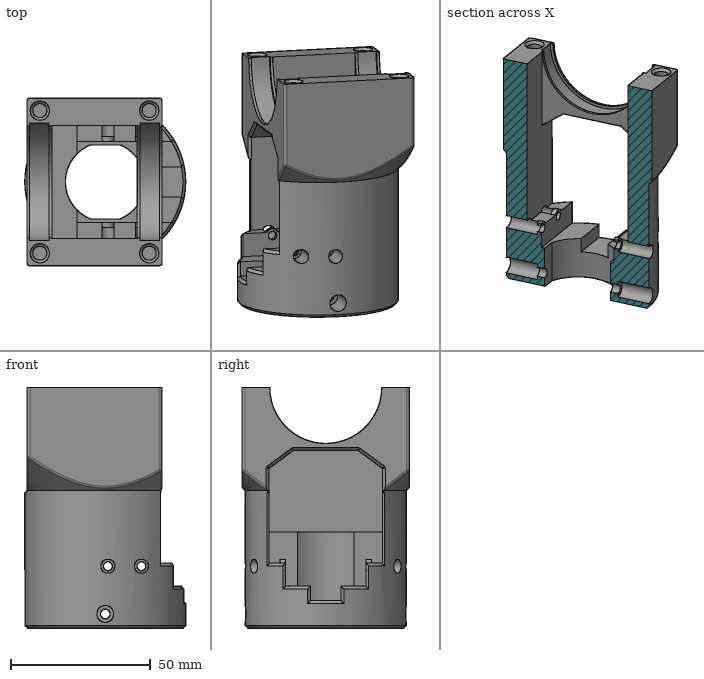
import cadquery as cq
import math

height = 86.25
body_diameter = 57.7
body_radius = body_diameter / 2
shoulder_z = 49.3
edge_size = 1.0

head_length = 48.4
head_width = 60.0
head_left = -28.0
head_right = head_left + head_length
head_center = (head_left + head_right) / 2
head_overlap = 0.9
head_bottom = shoulder_z - head_overlap

arch_wall = 9.0
saddle_radius = 20.0
groove_radius = 21.05
groove_width = 7.0

pocket_left = head_left + arch_wall
pocket_half_width = 20.3
ledge_z = 34.5
ledge_right = -10.1
pocket_z = 23.5
channel_half_width = 14.5
channel_z = 15.1
slot_half_width = 5.4
slot_z = 9.9
bore_radius = 14.2
bore_half_width = 13.2

opening_spring_z = 57.3
opening_top_z = 63.65
opening_top_half_width = 11.65

side_screw_z = 22.25
side_screw_places = (0.95, 12.9)
side_screw_hole = 3.1
side_screw_head = 5.0
base_screw_z = 5.2
base_screw_hole = 3.4
base_screw_head = 6.0
screw_seat_y = 16.3

clamp_hole = 5.0
clamp_mouth = 6.9
clamp_mouth_angle = 90
clamp_depth = 10.35
clamp_spacing_x = 39.2
clamp_spacing_y = 51.1

reach = 2 * body_radius
tolerance = 0.01


def block(x_min, x_max, half_width, z_min, z_max):
    """Box between two X and two Z planes, centred on Y = 0."""
    size = (x_max - x_min, 2 * half_width, z_max - z_min)
    return cq.Workplane().box(*size, centered=(False, True, False)).translate((x_min, 0, z_min))


def rod_along_y(radius, x, z, y_min, y_max):
    """Cylinder along Y between two Y planes."""
    return cq.Workplane("XZ", origin=(x, y_min, z)).circle(radius).extrude(y_min - y_max)


def disc_along_x(radius, x_center, thickness):
    """Cylinder along X on the saddle axis in the top face."""
    start = (x_center - thickness / 2, 0, height)
    return cq.Workplane("YZ", origin=start).circle(radius).extrude(thickness)


def shoulder_wedge():
    """45 degree wedge off the shoulder sliver that sticks out past the -X face of the head."""
    sliver = body_radius + head_left
    return (
        cq.Workplane("XZ")
        .moveTo(head_left, shoulder_z)
        .lineTo(head_left - sliver, shoulder_z)
        .lineTo(head_left - sliver, shoulder_z - sliver)
        .close()
        .extrude(body_radius, both=True)
    )


def make_body():
    """Cylinder with the stepped pocket that opens towards +X."""
    body = cq.Workplane().circle(body_radius).extrude(shoulder_z)
    body = body.faces("<Z").chamfer(edge_size)
    body = body.cut(shoulder_wedge())
    steps = (
        (ledge_right, pocket_half_width, pocket_z),
        (ledge_right, channel_half_width, channel_z),
        (0, slot_half_width, slot_z),
    )
    for x_min, half_width, floor_z in steps:
        body = body.cut(block(x_min, reach, half_width, floor_z, height))

    rim_edges = [edge for edge in body.edges().vals() if is_step_rim(edge)]
    body = body.newObject(rim_edges).chamfer(edge_size)
    return body.cut(block(pocket_left, reach, pocket_half_width, ledge_z, height))


def is_step_rim(edge):
    """True for the edges where the pocket steps break through the cylinder."""
    middle = edge.positionAt(0.5)
    on_cylinder = abs(math.hypot(middle.x, middle.y) - body_radius) < tolerance
    return on_cylinder and middle.x > 0 and edge_size < middle.z < shoulder_z - tolerance


def make_head():
    """Rectangular head whose underside is a cone flaring from the cylinder."""
    flare_radius = body_radius + height - shoulder_z
    flare = (
        cq.Workplane("XZ")
        .moveTo(0, head_bottom)
        .lineTo(body_radius, head_bottom)
        .lineTo(body_radius, shoulder_z)
        .lineTo(flare_radius, height)
        .lineTo(0, height)
        .close()
        .revolve()
    )
    head = block(head_left, head_right, head_width / 2, head_bottom, height)
    head = head.edges("|Z").fillet(edge_size)
    head = head.intersect(flare)
    flare_rim = [edge for edge in head.edges().vals() if edge.geomType() in ("HYPERBOLA", "BSPLINE")]
    return head.newObject(flare_rim).fillet(edge_size)


def opening_outline(x, bottom_z):
    """Outline of the opening under the +X arch, on the plane at x."""
    return (
        cq.Workplane("YZ", origin=(x, 0, 0))
        .moveTo(-pocket_half_width, bottom_z)
        .lineTo(-pocket_half_width, opening_spring_z)
        .lineTo(-opening_top_half_width, opening_top_z)
        .lineTo(opening_top_half_width, opening_top_z)
        .lineTo(pocket_half_width, opening_spring_z)
        .lineTo(pocket_half_width, bottom_z)
        .close()
    )


def cut_head(head):
    """Cuts the pocket between the arches, the +X opening and the saddle."""
    head = head.cut(block(pocket_left, head_right - arch_wall, pocket_half_width, ledge_z, height))

    head = head.cut(opening_outline(0, ledge_z).extrude(head_right))
    bevel_start = head_right - edge_size
    head = head.cut(opening_outline(bevel_start, head_bottom).extrude(edge_size, taper=-45))

    head = head.cut(disc_along_x(saddle_radius, head_center, reach))
    arch_offset = (head_length - arch_wall) / 2
    for side in (-1, 1):
        head = head.cut(disc_along_x(groove_radius, head_center + side * arch_offset, groove_width))
    return head


result = make_body().union(cut_head(make_head()))

for x in side_screw_places:
    for y in (-screw_seat_y, channel_half_width):
        length = screw_seat_y - channel_half_width
        result = result.union(rod_along_y(side_screw_head / 2, x, side_screw_z, y, y + length))

screws = [(x, side_screw_z, side_screw_hole, side_screw_head) for x in side_screw_places]
screws.append((0, base_screw_z, base_screw_hole, base_screw_head))
for x, z, hole, head in screws:
    result = result.cut(rod_along_y(hole / 2, x, z, -reach, reach))
    result = result.cut(rod_along_y(head / 2, x, z, -reach, -screw_seat_y))
    result = result.cut(rod_along_y(head / 2, x, z, screw_seat_y, reach))

bore = cq.Workplane().circle(bore_radius).extrude(ledge_z)
bore = bore.intersect(block(-reach, reach, bore_half_width, 0, ledge_z))
result = result.cut(bore)

result = (
    result.faces(">Z")
    .workplane(origin=(head_center, 0, height))
    .rarray(clamp_spacing_x, clamp_spacing_y, 2, 2)
    .cskHole(clamp_hole, clamp_mouth, clamp_mouth_angle, clamp_depth)
)